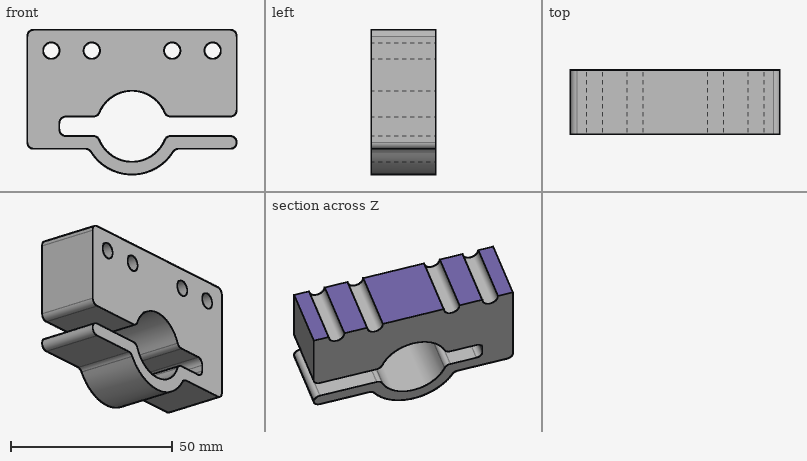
import cadquery as cq
import math

width = 65.0
depth = 20.0
top_height = 29.95
bore_radius = 11.0
wall = 4.0
slot_width = 6.0
slot_end_inset = 10.0
corner_radius = 2.0
hole_diameter = 5.0
hole_top_inset = 6.5
inner_hole_offset = 12.5
outer_hole_offset = 25.0

half_width = width / 2
half_slot = slot_width / 2
ring_radius = bore_radius + wall
bottom = -half_slot - wall
slot_end = -half_width + slot_end_inset
bore_slot_x = math.sqrt(bore_radius**2 - half_slot**2)
ring_bottom_x = math.sqrt(ring_radius**2 - bottom**2)


def block(left, right, low, high):
    """Full-depth block between the given X and Z limits."""
    size = (right - left, depth, high - low)
    center = ((left + right) / 2, 0, (low + high) / 2)
    return cq.Workplane("XY").box(*size).translate(center)


def cylinder(x, z, radius):
    """Full-depth cylinder along Y."""
    plane = cq.Workplane("XZ").center(x, z)
    return plane.circle(radius).extrude(depth / 2, both=True)


def round_edges(body, positions):
    """Round the edges along Y nearest to the given (x, z) positions."""
    edges = cq.Workplane("XY")
    for x, z in positions:
        edges = edges.add(body.edges("|Y").edges(cq.NearestToPointSelector((x, 0, z))).val())
    return body.newObject([body.val().fillet(corner_radius, edges.vals())])


body = block(-half_width, half_width, bottom, top_height)
body = body.union(cylinder(0, 0, ring_radius))
body = body.cut(cylinder(0, 0, bore_radius))
body = body.cut(block(slot_end, half_width, -half_slot, half_slot))

corners = [
    (-half_width, bottom),
    (-half_width, top_height),
    (half_width, top_height),
    (half_width, half_slot),
]
for side in (-1, 1):
    corners.append((slot_end, side * half_slot))
    corners.append((side * ring_bottom_x, bottom))
    for level in (-half_slot, half_slot):
        corners.append((side * bore_slot_x, level))
body = round_edges(body, corners)

tip_radius = wall / 2
tip_x = half_width - tip_radius
body = body.cut(block(tip_x, half_width, bottom, -half_slot))
body = body.union(cylinder(tip_x, bottom + tip_radius, tip_radius))

for offset in (inner_hole_offset, outer_hole_offset):
    for side in (-1, 1):
        body = body.cut(cylinder(side * offset, top_height - hole_top_inset, hole_diameter / 2))

result = body